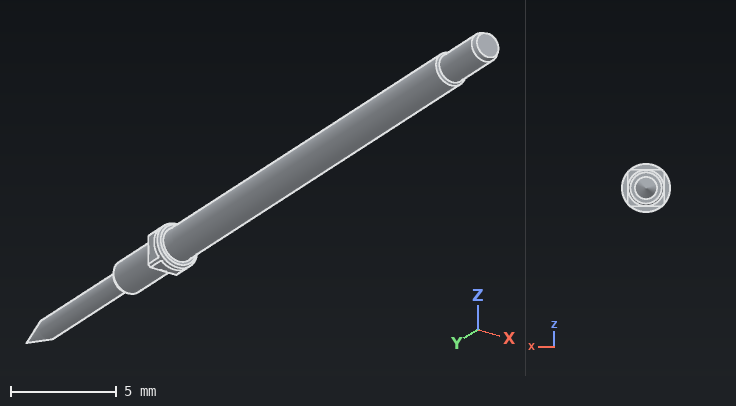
import cadquery as cq

total_length = 38.8
point_length = 1.8
barrel_front = 8.4
square_front = 11.52
flange_front = 12.4
flange_rim = 0.27
flange_bevel = 0.1
press_ring_end = 13.5
barrel_rear = 35.8

plunger_diameter = 1.05
barrel_diameter = 1.7
press_ring_diameter = 1.75
flange_diameter = 2.3
tail_diameter = 1.47

barrel_front_chamfer_length = 0.2
barrel_front_chamfer_depth = 0.1
barrel_rear_chamfer = 0.1
tail_chamfer_length = 0.27
tail_chamfer_depth = 0.1

square_across_flats = 1.75

flange_rear = flange_front + flange_rim + flange_bevel
tip_y = total_length / 2


def turned_body():
    """Revolve the half outline of the probe about the Y axis."""
    plunger_radius = plunger_diameter / 2
    barrel_radius = barrel_diameter / 2
    press_ring_radius = press_ring_diameter / 2
    flange_radius = flange_diameter / 2
    tail_radius = tail_diameter / 2
    outline = [
        (0, 0),
        (plunger_radius, point_length),
        (plunger_radius, barrel_front),
        (barrel_radius - barrel_front_chamfer_depth, barrel_front),
        (barrel_radius, barrel_front + barrel_front_chamfer_length),
        (barrel_radius, flange_front),
        (flange_radius, flange_front),
        (flange_radius, flange_front + flange_rim),
        (flange_radius - flange_bevel, flange_rear),
        (press_ring_radius, flange_rear),
        (barrel_radius, press_ring_end),
        (barrel_radius, barrel_rear - barrel_rear_chamfer),
        (tail_radius, barrel_rear),
        (tail_radius, total_length - tail_chamfer_length),
        (tail_radius - tail_chamfer_depth, total_length),
        (0, total_length),
    ]
    points = [(tip_y - station, radius) for radius, station in outline]
    return cq.Workplane("YZ").polyline(points).close().revolve(360, (0, 0, 0), (1, 0, 0))


def square_collar():
    """Square block in front of the flange, its corners rounded to the flange diameter."""
    length = flange_front - square_front
    front = cq.Workplane("XZ", origin=(0, tip_y - square_front, 0))
    block = front.rect(square_across_flats, square_across_flats).extrude(length)
    envelope = front.circle(flange_diameter / 2).extrude(length)
    return block.intersect(envelope)


result = turned_body().union(square_collar())